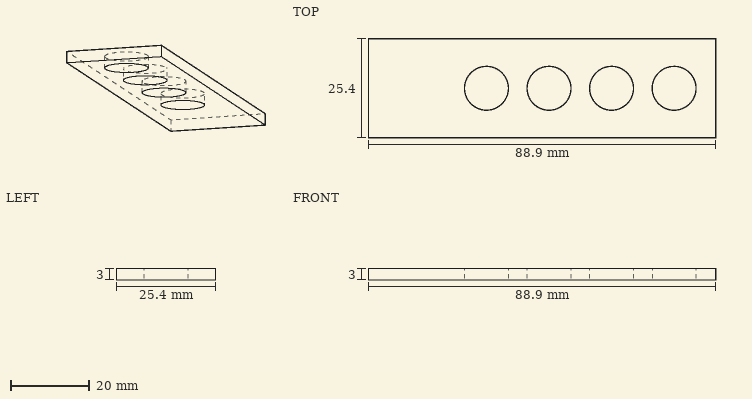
import cadquery as cq

plate_length = 88.9
plate_width = 25.4
plate_thickness = 3.0

hole_diameter = 11.176
hole_count = 4
hole_pitch = 16.002
end_margin = 10.668


def make_plate():
    """Flat rectangular plate centred on the origin."""
    return cq.Workplane("XY").box(plate_length, plate_width, plate_thickness)


def hole_centres():
    """Hole centres, evenly spaced from the +X end towards -X."""
    last_hole_x = plate_length / 2 - end_margin
    return [(last_hole_x - i * hole_pitch, 0) for i in range(hole_count)]


def cut_holes(plate):
    """Drill the row of holes through the full thickness."""
    return plate.faces(">Z").workplane().pushPoints(hole_centres()).hole(hole_diameter)


result = cut_holes(make_plate())